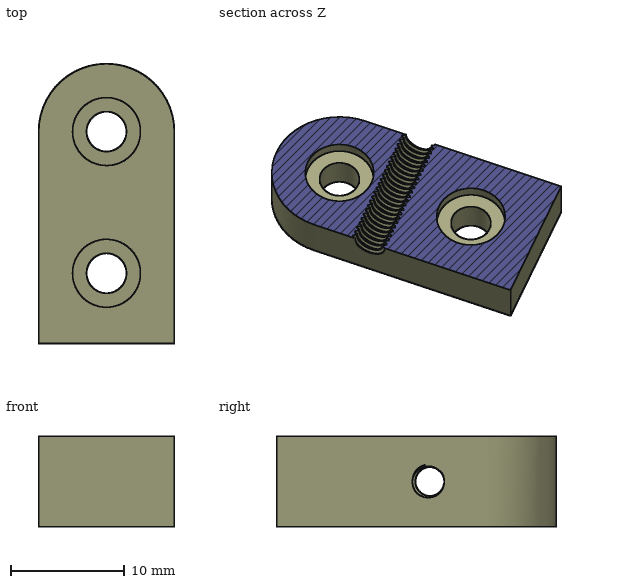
import cadquery as cq
import math

WIDTH = 11.99
HEIGHT = 8.0
LENGTH = 24.69
END_RADIUS = WIDTH / 2
FLAT_END_Y = END_RADIUS - LENGTH

SCREW_SPACING = 12.5
SCREW_CENTRES = [(0, 0), (0, -SCREW_SPACING)]
CLEARANCE_DIAMETER = 3.5
COUNTERBORE_DIAMETER = 6.0
COUNTERBORE_DEPTH = 5.0

THREAD_Y = -5.17
THREAD_Z = HEIGHT / 2
THREAD_MINOR_RADIUS = 2.53 / 2
THREAD_MAJOR_RADIUS = 3.09 / 2
THREAD_PITCH = 0.5
THREAD_FLANK_ANGLE = 30.0
THREAD_START_ANGLE = 290.0
THREAD_OVERRUN = 2 * THREAD_PITCH
ROOT_HALF_WIDTH = THREAD_PITCH / 16
GROOVE_OVERLAP = 0.03


def make_block():
    """Bar with a flat -Y end and a half-round +Y end."""
    half_width = WIDTH / 2
    return (
        cq.Workplane("XY")
        .moveTo(-half_width, FLAT_END_Y)
        .lineTo(half_width, FLAT_END_Y)
        .lineTo(half_width, 0)
        .threePointArc((0, END_RADIUS), (-half_width, 0))
        .close()
        .extrude(HEIGHT)
    )


def cut_screw_holes(body):
    """Clearance holes counterbored from the top face."""
    return (
        body.faces(">Z")
        .workplane(origin=(0, 0, HEIGHT))
        .pushPoints(SCREW_CENTRES)
        .cboreHole(CLEARANCE_DIAMETER, COUNTERBORE_DIAMETER, COUNTERBORE_DEPTH)
    )


def make_thread_groove():
    """Right-hand helical groove around the Z axis, starting at Z = 0 on the +X side."""
    groove_length = WIDTH + 2 * THREAD_OVERRUN
    inner_radius = THREAD_MINOR_RADIUS - GROOVE_OVERLAP
    flank_rise = (THREAD_MAJOR_RADIUS - inner_radius) * math.tan(math.radians(THREAD_FLANK_ANGLE))
    mouth_half_width = ROOT_HALF_WIDTH + flank_rise
    helix = cq.Wire.makeHelix(THREAD_PITCH, groove_length, THREAD_MINOR_RADIUS)
    return (
        cq.Workplane("XZ")
        .moveTo(inner_radius, -mouth_half_width)
        .lineTo(THREAD_MAJOR_RADIUS, -ROOT_HALF_WIDTH)
        .lineTo(THREAD_MAJOR_RADIUS, ROOT_HALF_WIDTH)
        .lineTo(inner_radius, mouth_half_width)
        .close()
        .sweep(cq.Workplane(helix), isFrenet=True)
    )


def cut_threaded_hole(body):
    """Thread groove from side face to side face, then the minor-diameter bore inside it."""
    start = (-WIDTH / 2 - THREAD_OVERRUN, THREAD_Y, THREAD_Z)
    bore = (
        cq.Workplane("YZ", origin=start)
        .circle(THREAD_MINOR_RADIUS)
        .extrude(WIDTH + 2 * THREAD_OVERRUN)
    )
    groove = (
        make_thread_groove()
        .rotate((0, 0, 0), (0, 1, 0), 90)
        .rotate((0, 0, 0), (1, 0, 0), THREAD_START_ANGLE)
        .translate(start)
    )
    return body.cut(groove).cut(bore)


result = cut_threaded_hole(cut_screw_holes(make_block()))